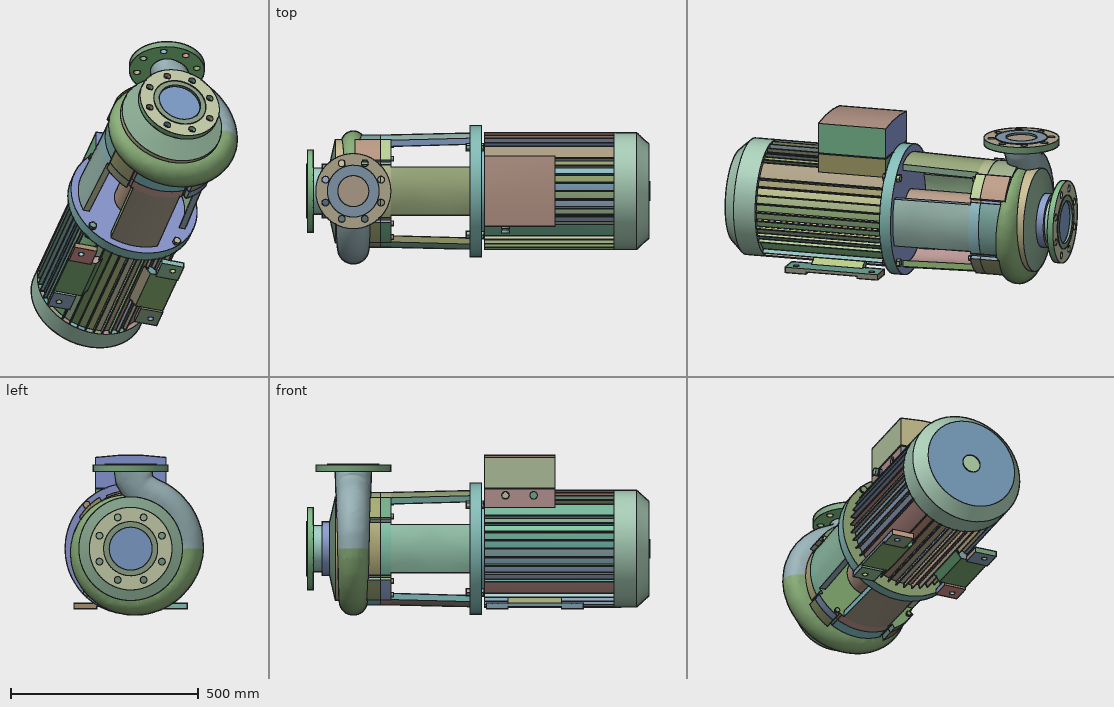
import cadquery as cq
import math


SUCTION_FLANGE_DIA = 220
SUCTION_FLANGE_THICKNESS = 18
SUCTION_BOLT_CIRCLE = 180
SUCTION_FACE_DIA = 144.3
SUCTION_BORE_DIA = 114.3
SUCTION_BORE_DEPTH = 7
NECK_DIA = 124.3
COLLAR_DIA = 144.3
COLLAR_X = 41
COVER_X = 61
COVER_RIM_X = 76
COVER_DIA = 276

DISCHARGE_X = 124
DISCHARGE_HEIGHT = 225
DISCHARGE_FLANGE_DIA = 200
DISCHARGE_FLANGE_THICKNESS = 20
DISCHARGE_BOLT_CIRCLE = 160
DISCHARGE_FACE_DIA = 138
DISCHARGE_BORE_DIA = 82.5
DISCHARGE_BORE_DEPTH = 5

FLANGE_HOLE_DIA = 18
FLANGE_HOLE_COUNT = 8
FACE_HEIGHT = 2

TUBE_START_RADIUS = 28
TUBE_MIDDLE_RADIUS = 42
TUBE_END_RADIUS = 49
SPIRAL_START_RADIUS = 115
SPIRAL_END_RADIUS = 152
SPIRAL_SWEEP = 270
SPIRAL_SECTIONS = 9
BEND_SECTIONS = 9

RING_START_X = 128
JOINT_X = 197
RING_END_X = 224.5
RING_RADIUS = 150
LUG_RADIUS = 160
LUG_START_ANGLE = 31.3
PAD_HALF_ANGLE = 28.3
GROOVE_DEPTH = 2

ARM_WIDTH = 129
ARM_WALL = 15
ARM_END_RADIUS = 155
SHAFT_DIA = 110
MOUNT_X = 434.5
MOUNT_END_X = 465.5
MOUNT_DIA = 350

SPIGOT_DIA = 232
STATOR_X = 472.5
STATOR_END_X = 818
STATOR_RADIUS = 144
FIN_TIP_RADIUS = 156
FIN_THICKNESS = 2.5
FIN_PITCH = 8.6
FINS_PER_SIDE = 9
COWL_DIA = 312
COWL_CONE_X = 878
COWL_END_X = 911
COWL_END_DIA = 252
END_CAP_DIA = 50
OVERALL_LENGTH = 913

BOX_X = 473
BOX_LENGTH = 188
BOX_WIDTH = 188
BOX_TOP = 249.5
BOX_SIDE_TOP = 243
LID_Z = 159
SEAM_HEIGHT = 2.5
SEAM_DEPTH = 1
ENTRY_DIA = 20
ENTRY_DEPTH = 5
ENTRY_Z = 142
PLUG_X = 529
ENTRY_X = 604
PLUG_NECK_DIA = 16
PLUG_PARTS = ((ENTRY_DIA, 6), (PLUG_NECK_DIA, 4), (ENTRY_DIA, 8))

FOOT_X = 478
FOOT_LENGTH = 258
FOOT_BOTTOM = -160
FOOT_THICKNESS = 15
FOOT_INNER_Y = 90
FOOT_OUTER_Y = 151
FOOT_PAD_LENGTH = 58
FOOT_RELIEF = 6
FOOT_HOLE_DIA = 15
FOOT_HOLE_SPAN_X = 210
FOOT_HOLE_Y = 127
BRACKET_TOP = -129
BRACKET_INNER_Y = 55
BRACKET_SLOPE_Y = 75
BRACKET_FOOT_Y = 102

SCREW_HEAD_DIA = 13
SCREW_HEAD_HEIGHT = 7
SCREW_SHANK_DIA = 10
SCREW_LENGTH = 45
SCREW_Y = 86
SCREW_Z = 122.5
BOLT_CIRCLE = 330
BOLT_SHANK_DIA = 13
BOLT_HEAD_FLATS = 18
BOLT_HEAD_HEIGHT = 10
NUT_HEIGHT = 6


def x_rod(dia, start, end, y=0, z=0):
    """Round bar along X."""
    return cq.Workplane("YZ", origin=(start, y, z)).circle(dia / 2).extrude(end - start)


def yz_sector(radius, from_angle, to_angle, start, end):
    """Pie-shaped sector about the X axis."""
    middle = math.radians((from_angle + to_angle) / 2)
    first = math.radians(from_angle)
    last = math.radians(to_angle)
    return (
        cq.Workplane("YZ", origin=(start, 0, 0))
        .lineTo(radius * math.cos(first), radius * math.sin(first))
        .threePointArc(
            (radius * math.cos(middle), radius * math.sin(middle)),
            (radius * math.cos(last), radius * math.sin(last)),
        )
        .close()
        .extrude(end - start)
    )



def pipe_flange(plane, dia, thickness, face_dia, bolt_circle):
    """Flange behind its sealing face; the plane lies on the face and points into the pump."""
    disc = plane.workplane(offset=FACE_HEIGHT).circle(dia / 2).extrude(thickness - FACE_HEIGHT)
    holes = (
        plane.polarArray(bolt_circle / 2, 180 / FLANGE_HOLE_COUNT, 360, FLANGE_HOLE_COUNT)
        .circle(FLANGE_HOLE_DIA / 2)
        .extrude(thickness)
    )
    face = plane.circle(face_dia / 2).extrude(thickness)
    return disc.union(face).cut(holes)


def tube_ring(y, z, lean, radius):
    """Circle across the tube; lean is the flow direction, measured from +Y towards +Z."""
    direction = (0, math.cos(lean), math.sin(lean))
    plane = cq.Plane((DISCHARGE_X, y, z), xDir=(1, 0, 0), normal=direction)
    return cq.Workplane(plane).circle(radius).wires().val()


def spiral_tube():
    """Growing tube from the top, round by +Y and the bottom, to the -Y side."""
    rings = []
    for index in range(SPIRAL_SECTIONS + 1):
        share = index / SPIRAL_SECTIONS
        turn = math.radians(SPIRAL_SWEEP) * share
        distance = SPIRAL_START_RADIUS + share * (SPIRAL_END_RADIUS - SPIRAL_START_RADIUS)
        radius = TUBE_START_RADIUS + share * (TUBE_MIDDLE_RADIUS - TUBE_START_RADIUS)
        rings.append(tube_ring(distance * math.sin(turn), distance * math.cos(turn), -turn, radius))
    return cq.Workplane(cq.Solid.makeLoft(rings))


def discharge_bend():
    """S-bend of two tangent arcs: on around the pump axis, then back upright into the flange."""
    first_radius = SPIRAL_END_RADIUS
    top = DISCHARGE_HEIGHT - FACE_HEIGHT
    second_radius = (top**2 - first_radius**2) / (2 * first_radius)
    swing = math.acos(second_radius / (first_radius + second_radius))
    path_length = swing * (first_radius + second_radius)
    rings = []
    for index in range(BEND_SECTIONS + 1):
        share = index / BEND_SECTIONS
        radius = TUBE_MIDDLE_RADIUS + share * (TUBE_END_RADIUS - TUBE_MIDDLE_RADIUS)
        travel = share * path_length
        if travel < swing * first_radius:
            tilt = travel / first_radius
            y = -first_radius * math.cos(tilt)
            z = first_radius * math.sin(tilt)
        else:
            tilt = (path_length - travel) / second_radius
            y = second_radius * (math.cos(tilt) - 1)
            z = top - second_radius * math.sin(tilt)
        rings.append(tube_ring(y, z, math.pi / 2 - tilt, radius))
    return cq.Workplane(cq.Solid.makeLoft(rings))


def joint_ring(start, end):
    """Disc with four lugs; a shallow groove runs along both sides of each lug."""
    ring = x_rod(2 * (RING_RADIUS - GROOVE_DEPTH), start, end)
    for quarter in range(0, 360, 90):
        pad = yz_sector(RING_RADIUS, quarter - PAD_HALF_ANGLE, quarter + PAD_HALF_ANGLE, start, end)
        lug = yz_sector(LUG_RADIUS, quarter + LUG_START_ANGLE, quarter + 90 - LUG_START_ANGLE, start, end)
        ring = ring.union(pad).union(lug)
    return ring


def pump_casing():
    body = (
        cq.Workplane("XZ")
        .lineTo(0, NECK_DIA / 2)
        .lineTo(COLLAR_X, NECK_DIA / 2)
        .lineTo(COLLAR_X, COLLAR_DIA / 2)
        .lineTo(COVER_X, COLLAR_DIA / 2)
        .lineTo(COVER_RIM_X, COVER_DIA / 2)
        .lineTo(JOINT_X, COVER_DIA / 2)
        .lineTo(JOINT_X, 0)
        .close()
        .revolve(360, (0, 0, 0), (1, 0, 0))
    )
    suction_plane = cq.Workplane("YZ")
    discharge_plane = cq.Workplane(
        cq.Plane((DISCHARGE_X, 0, DISCHARGE_HEIGHT), xDir=(1, 0, 0), normal=(0, 0, -1))
    )
    suction = pipe_flange(
        suction_plane, SUCTION_FLANGE_DIA, SUCTION_FLANGE_THICKNESS, SUCTION_FACE_DIA, SUCTION_BOLT_CIRCLE
    )
    discharge = pipe_flange(
        discharge_plane,
        DISCHARGE_FLANGE_DIA,
        DISCHARGE_FLANGE_THICKNESS,
        DISCHARGE_FACE_DIA,
        DISCHARGE_BOLT_CIRCLE,
    )
    body = body.union(joint_ring(RING_START_X, JOINT_X))
    body = body.union(spiral_tube()).union(discharge_bend())
    body = body.union(suction).union(discharge)
    body = body.cut(suction_plane.circle(SUCTION_BORE_DIA / 2).extrude(SUCTION_BORE_DEPTH))
    return body.cut(discharge_plane.circle(DISCHARGE_BORE_DIA / 2).extrude(DISCHARGE_BORE_DEPTH))



def lantern():
    """Joint ring, four arms cut from a conical shell, shaft housing and mounting flange."""
    shell = (
        cq.Workplane("XZ")
        .moveTo(RING_END_X, RING_RADIUS)
        .lineTo(MOUNT_X, ARM_END_RADIUS)
        .lineTo(MOUNT_X, ARM_END_RADIUS - ARM_WALL)
        .lineTo(RING_END_X, RING_RADIUS - ARM_WALL)
        .close()
        .revolve(360, (0, 0, 0), (1, 0, 0))
    )
    cross = (
        cq.Workplane("YZ", origin=(RING_END_X, 0, 0))
        .rect(ARM_WIDTH, MOUNT_DIA)
        .extrude(MOUNT_X - RING_END_X)
        .union(
            cq.Workplane("YZ", origin=(RING_END_X, 0, 0))
            .rect(MOUNT_DIA, ARM_WIDTH)
            .extrude(MOUNT_X - RING_END_X)
        )
    )
    return (
        joint_ring(JOINT_X, RING_END_X)
        .union(shell.intersect(cross))
        .union(x_rod(SHAFT_DIA, RING_END_X, MOUNT_X))
        .union(x_rod(MOUNT_DIA, MOUNT_X, MOUNT_END_X))
    )


def finned_profile():
    """Stator cross-section: a round root with a fan of radial fins on each of its four sides."""

    def polar(radius, angle, across):
        cos, sin = math.cos(math.radians(angle)), math.sin(math.radians(angle))
        return (radius * cos - across * sin, radius * sin + across * cos)

    half = FIN_THICKNESS / 2
    fan = [(index - (FINS_PER_SIDE - 1) / 2) * FIN_PITCH for index in range(FINS_PER_SIDE)]
    angles = [side + angle for side in range(0, 360, 90) for angle in fan]
    root = math.sqrt(STATOR_RADIUS**2 - half**2)
    profile = cq.Workplane("YZ", origin=(STATOR_X, 0, 0)).moveTo(*polar(root, angles[0], -half))
    for angle, following in zip(angles, angles[1:] + [angles[0] + 360]):
        profile = (
            profile.lineTo(*polar(FIN_TIP_RADIUS, angle, -half))
            .lineTo(*polar(FIN_TIP_RADIUS, angle, half))
            .lineTo(*polar(root, angle, half))
            .threePointArc(
                polar(STATOR_RADIUS, (angle + following) / 2, 0),
                polar(root, following, -half),
            )
        )
    return profile.close()


def stator():
    """Spigot, finned stator barrel and fan cowl."""
    barrel = x_rod(SPIGOT_DIA, MOUNT_END_X, STATOR_X).union(
        finned_profile().extrude(STATOR_END_X - STATOR_X)
    )
    cowl = (
        cq.Workplane("XZ")
        .moveTo(STATOR_END_X, 0)
        .lineTo(STATOR_END_X, COWL_DIA / 2)
        .lineTo(COWL_CONE_X, COWL_DIA / 2)
        .lineTo(COWL_END_X, COWL_END_DIA / 2)
        .lineTo(COWL_END_X, END_CAP_DIA / 2)
        .lineTo(OVERALL_LENGTH, END_CAP_DIA / 2)
        .lineTo(OVERALL_LENGTH, 0)
        .close()
        .revolve(360, (0, 0, 0), (1, 0, 0))
    )
    return barrel.union(cowl)


def box_block(width, length, start, bottom, top):
    return (
        cq.Workplane("XY")
        .box(length, width, top - bottom, centered=(False, True, False))
        .translate((start, 0, bottom))
    )


def terminal_box():
    """Box with an arched lid, a seam below the lid and two cable entries, one of them plugged."""
    half = BOX_WIDTH / 2
    box = (
        cq.Workplane("YZ", origin=(BOX_X, 0, 0))
        .moveTo(-half, 0)
        .lineTo(-half, BOX_SIDE_TOP)
        .threePointArc((0, BOX_TOP), (half, BOX_SIDE_TOP))
        .lineTo(half, 0)
        .close()
        .extrude(BOX_LENGTH)
    )
    seam = box_block(2 * BOX_WIDTH, 2 * BOX_LENGTH, BOX_X - BOX_LENGTH / 2, LID_Z, LID_Z + SEAM_HEIGHT)
    core = box_block(
        BOX_WIDTH - 2 * SEAM_DEPTH,
        BOX_LENGTH - 2 * SEAM_DEPTH,
        BOX_X + SEAM_DEPTH,
        LID_Z,
        LID_Z + SEAM_HEIGHT,
    )
    entry = cq.Workplane("XZ", origin=(ENTRY_X, -half, ENTRY_Z)).circle(ENTRY_DIA / 2).extrude(-ENTRY_DEPTH)
    box = box.cut(seam.cut(core)).cut(entry)
    face_y = -half
    for dia, length in PLUG_PARTS:
        disc = cq.Workplane("XZ", origin=(PLUG_X, face_y, ENTRY_Z)).circle(dia / 2).extrude(length)
        box = box.union(disc)
        face_y -= length
    return box


def foot():
    """Foot plate on the +Y side with two end pads, and the bracket that carries it."""
    top = FOOT_BOTTOM + FOOT_THICKNESS
    relief_length = FOOT_LENGTH - 2 * FOOT_PAD_LENGTH
    centre_x = FOOT_X + FOOT_LENGTH / 2
    centre_y = (FOOT_INNER_Y + FOOT_OUTER_Y) / 2
    width = FOOT_OUTER_Y - FOOT_INNER_Y
    plate = (
        cq.Workplane("XY", origin=(centre_x, centre_y, FOOT_BOTTOM))
        .rect(FOOT_LENGTH, width)
        .extrude(FOOT_THICKNESS)
    )
    relief = (
        cq.Workplane("XY", origin=(centre_x, centre_y, FOOT_BOTTOM))
        .rect(relief_length, width)
        .extrude(FOOT_RELIEF)
    )
    holes = (
        cq.Workplane("XY", origin=(centre_x, FOOT_HOLE_Y, FOOT_BOTTOM))
        .rarray(FOOT_HOLE_SPAN_X, 1, 2, 1)
        .circle(FOOT_HOLE_DIA / 2)
        .extrude(FOOT_THICKNESS)
    )
    bracket = (
        cq.Workplane("YZ", origin=(FOOT_X + FOOT_PAD_LENGTH, 0, 0))
        .moveTo(BRACKET_INNER_Y, BRACKET_TOP)
        .lineTo(BRACKET_SLOPE_Y, BRACKET_TOP)
        .lineTo(BRACKET_FOOT_Y, top)
        .lineTo(BRACKET_FOOT_Y, FOOT_BOTTOM + FOOT_RELIEF)
        .lineTo(BRACKET_SLOPE_Y, FOOT_BOTTOM + FOOT_RELIEF)
        .close()
        .extrude(relief_length)
    )
    return plate.cut(relief).union(bracket).cut(holes)


def drive_unit():
    unit = lantern().union(stator()).union(terminal_box())
    return unit.union(foot()).union(foot().mirror("XZ"))



def joint_screw():
    """Round-head screw through a lug of the joint."""
    head = x_rod(SCREW_HEAD_DIA, RING_END_X, RING_END_X + SCREW_HEAD_HEIGHT, SCREW_Y, SCREW_Z)
    return head.union(x_rod(SCREW_SHANK_DIA, RING_END_X - SCREW_LENGTH, RING_END_X, SCREW_Y, SCREW_Z))


def hexagon(start, height, y, z):
    corner_dia = BOLT_HEAD_FLATS / math.cos(math.pi / 6)
    return cq.Workplane("YZ", origin=(start, y, z)).polygon(6, corner_dia).extrude(height)


def mount_bolt():
    """Hexagon bolt through the mounting flange, with its nut on the motor side."""
    offset = BOLT_CIRCLE / 2 * math.cos(math.pi / 4)
    return (
        x_rod(BOLT_SHANK_DIA, MOUNT_X, MOUNT_END_X, offset, offset)
        .union(hexagon(MOUNT_X - BOLT_HEAD_HEIGHT, BOLT_HEAD_HEIGHT, offset, offset))
        .union(hexagon(MOUNT_END_X, NUT_HEIGHT, offset, offset))
    )


def four_around_axis(part):
    return [part.rotate((0, 0, 0), (1, 0, 0), quarter) for quarter in range(0, 360, 90)]



screws = four_around_axis(joint_screw())
bolts = four_around_axis(mount_bolt())

casing = pump_casing()
drive = drive_unit()
for screw in screws:
    casing = casing.cut(screw)
    drive = drive.cut(screw)
for bolt in bolts:
    drive = drive.cut(bolt)

fasteners = [part.val() for part in screws + bolts]
result = cq.Compound.makeCompound([casing.val(), drive.val(), *fasteners])